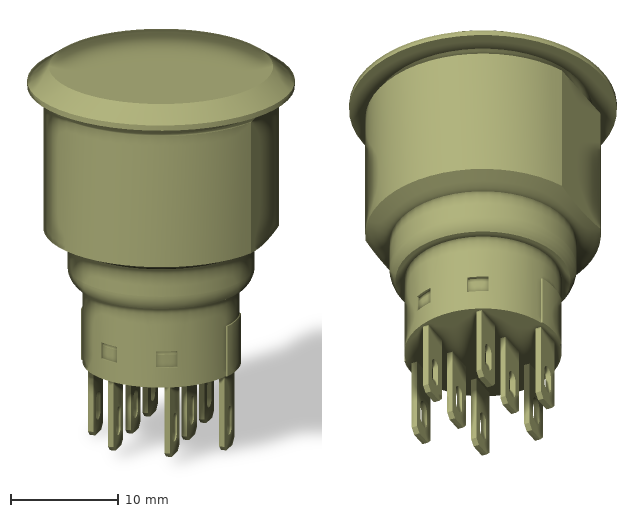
import cadquery as cq
import math


flange_diameter = 25.0
face_diameter = 20.95
neck_diameter = 20.5
barrel_diameter = 22.0
collar_diameter = 17.5
base_diameter = 14.7

flange_bevel_depth = 1.4
flange_depth = 1.92
neck_depth = 3.0
barrel_depth = 16.0
cone_depth = 17.0
collar_round_depth = 19.72
collar_depth = 21.13
base_depth = 29.23
total_depth = 37.0

collar_rounding = 2.0

flats_width = neck_diameter

key_diameter = 15.0
key_width = 4.0
key_top_depth = 24.27

window_top_depth = 25.65
window_bottom_depth = 27.27
window_recess = 0.22
window_ramp_height = 0.4
window_ramp_recess = 0.1
window_angle = 23.0
window_span = 15.6

terminal_width = 2.78
terminal_thickness = 0.55
tip_chamfer = 0.5
slot_width = 1.3
slot_length = 2.78
slot_to_tip = 1.3
short_terminal_rise = 0.6
outer_terminal_x = 6.48
inner_terminal_x = 2.78
terminal_pitch_y = 5.0
terminal_embed = 1.85


def make_body():
    """Flange, neck, barrel, rounded collar and base turned about Z."""
    collar_radius = collar_diameter / 2
    base_radius = base_diameter / 2
    sweep = math.asin((collar_depth - collar_round_depth) / collar_rounding)

    def rounding_point(angle):
        inset = collar_rounding * (1 - math.cos(angle))
        drop = collar_rounding * math.sin(angle)
        return (collar_radius - inset, -collar_round_depth - drop)

    return (
        cq.Workplane("XZ")
        .moveTo(0, 0)
        .lineTo(face_diameter / 2, 0)
        .lineTo(flange_diameter / 2, -flange_bevel_depth)
        .lineTo(flange_diameter / 2, -flange_depth)
        .lineTo(neck_diameter / 2, -flange_depth)
        .lineTo(neck_diameter / 2, -neck_depth)
        .lineTo(barrel_diameter / 2, -neck_depth)
        .lineTo(barrel_diameter / 2, -barrel_depth)
        .lineTo(collar_radius, -cone_depth)
        .lineTo(collar_radius, -collar_round_depth)
        .threePointArc(rounding_point(sweep / 2), rounding_point(sweep))
        .lineTo(base_radius, -collar_depth)
        .lineTo(base_radius, -base_depth)
        .lineTo(0, -base_depth)
        .close()
        .revolve(360, (0, 0), (0, 1))
    )


def make_flat_cutter():
    """Ring of material outside the two barrel flats."""
    height = cone_depth - neck_depth
    stock = cq.Workplane("XY").workplane(offset=-cone_depth)
    outside = stock.rect(flange_diameter, flange_diameter).extrude(height)
    kept = stock.rect(flats_width, flange_diameter).extrude(height)
    return outside.cut(kept)


def make_keys():
    """Two curved pads standing slightly proud of the base."""
    height = base_depth - key_top_depth
    stock = cq.Workplane("XY").workplane(offset=-base_depth)
    disc = stock.circle(key_diameter / 2).extrude(height)
    strip = stock.rect(flange_diameter, key_width).extrude(height)
    return disc.intersect(strip)


def make_window_cutter(middle_angle):
    """Shallow window whose floor ramps deeper toward its top edge."""
    outer_radius = key_diameter / 2
    floor_radius = base_diameter / 2 - window_recess
    return (
        cq.Workplane("XZ")
        .moveTo(outer_radius, -window_bottom_depth)
        .lineTo(floor_radius, -window_bottom_depth)
        .lineTo(floor_radius, -window_top_depth - window_ramp_height)
        .lineTo(floor_radius - window_ramp_recess, -window_top_depth)
        .lineTo(outer_radius, -window_top_depth)
        .close()
        .revolve(window_span, (0, 0), (0, 1))
        .rotate((0, 0, 0), (0, 0, 1), middle_angle - window_span / 2)
    )


def make_terminal(x, y, tip_z):
    """Slotted blade facing X, with its two tip corners cut off."""
    length = -base_depth + terminal_embed - tip_z
    return (
        cq.Workplane("XY")
        .box(terminal_thickness, terminal_width, length, centered=(True, True, False))
        .edges("|X and <Z")
        .chamfer(tip_chamfer)
        .faces(">X")
        .workplane(origin=(0, 0, slot_to_tip + slot_length / 2))
        .slot2D(slot_length, slot_width, 90)
        .cutThruAll()
        .translate((x, y, tip_z))
    )


result = make_body().cut(make_flat_cutter()).union(make_keys())

for axis_angle in (90, 270):
    for side in (-1, 1):
        result = result.cut(make_window_cutter(axis_angle + side * window_angle))

for side in (-1, 1):
    result = result.union(make_terminal(side * outer_terminal_x, 0, -total_depth))
    for row in (-1, 0, 1):
        tip_z = short_terminal_rise - total_depth
        result = result.union(make_terminal(side * inner_terminal_x, row * terminal_pitch_y, tip_z))